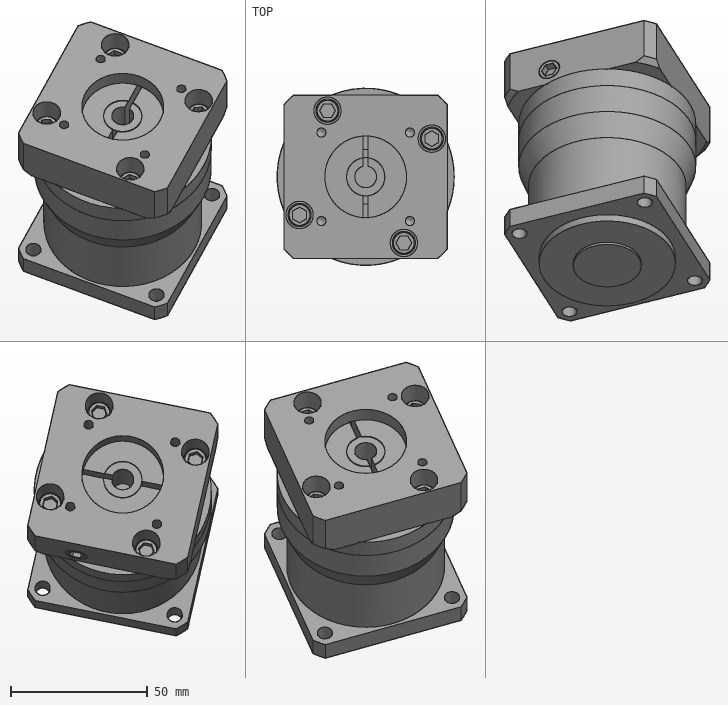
import cadquery as cq
import math

pilot_bottom = 1.0
flange_bottom = 4.0
flange_top = 12.0
cone_bottom = 37.0
cone_top = 46.4
joint_level = 58.6
block_bottom = 66.4
total_height = 85.0

square_side = 60.0
corner_diameter = 80.0

boss_diameter = 25.0
pilot_diameter = 50.0
neck_diameter = 58.0
ring_diameter = 65.0
flange_hole_diameter = 5.5
flange_hole_circle = 70.0

edge_chamfer = 2.0
motor_bore_diameter = 30.0
motor_hole_diameter = 3.3
motor_hole_pitch = 32.5
motor_hole_depth = 10.0
drill_tip_angle = 118.0

screw_circle = 56.0
first_screw_angle = 30.0
screw_count = 4
counterbore_diameter = 10.0
counterbore_depth = 12.75
head_diameter = 8.5
head_height = 5.0
head_chamfer = 0.4
screw_hex_flats = 5.0
screw_hex_depth = 2.5

plug_y = 11.0
plug_z = 73.0
plug_hole_diameter = 8.2
plug_diameter = 7.8
plug_gap_depth = 1.0
plug_hex_flats = 5.1
plug_hex_depth = 3.0

hub_diameter = 36.0
hub_recess = 6.1
collar_height = 0.3
collar_diameter = 14.0
shaft_bore_diameter = 8.0
foot_diameter = 20.0
foot_height = 2.55
slot_width = 1.8
shaft_bore_depth = 16.3

hub_top = total_height - hub_recess
collar_top = hub_top + collar_height
foot_top = joint_level + foot_height
shaft_bore_floor = collar_top - shaft_bore_depth


def cylinder(diameter, bottom, top):
    return cq.Workplane("XY").workplane(offset=bottom).circle(diameter / 2).extrude(top - bottom)


def turned_square(bottom, top):
    """Square prism whose four corners are turned to a common diameter."""
    height = top - bottom
    square = cq.Workplane("XY").workplane(offset=bottom).rect(square_side, square_side).extrude(height)
    return square.intersect(cylinder(corner_diameter, bottom, top))


def hex_socket(plane, flats, depth):
    """Hexagonal prism with two corners on the plane's local X axis."""
    return plane.polygon(6, flats / math.cos(math.pi / 6)).extrude(depth)


def make_housing():
    boss = cylinder(boss_diameter, 0, pilot_bottom)
    pilot = cylinder(pilot_diameter, pilot_bottom, flange_bottom)
    body_profile = [
        (0, flange_top),
        (neck_diameter / 2, flange_top),
        (neck_diameter / 2, cone_bottom),
        (ring_diameter / 2, cone_top),
        (ring_diameter / 2, joint_level),
        (0, joint_level),
    ]
    body = cq.Workplane("XZ").polyline(body_profile).close().revolve(360, (0, 0), (0, 1))
    hole_pitch = flange_hole_circle / math.sqrt(2)
    flange_holes = (
        cq.Workplane("XY")
        .workplane(offset=flange_bottom)
        .rect(hole_pitch, hole_pitch, forConstruction=True)
        .vertices()
        .circle(flange_hole_diameter / 2)
        .extrude(flange_top - flange_bottom)
    )
    flange = turned_square(flange_bottom, flange_top).cut(flange_holes)
    return boss.union(pilot).union(flange).union(body)


def make_adapter_blank():
    """Motor block with chamfered lower corners, on a round base, hollow for the clamp hub."""
    corner_turning = cylinder(corner_diameter, block_bottom, total_height).faces("<Z").chamfer(edge_chamfer)
    block = turned_square(block_bottom, total_height).intersect(corner_turning)
    base = cylinder(ring_diameter, joint_level, block_bottom)
    hub_cavity = cylinder(hub_diameter, joint_level, hub_top)
    motor_bore = cylinder(motor_bore_diameter, hub_top, total_height)
    return base.union(block).cut(hub_cavity).cut(motor_bore)


def make_motor_hole():
    """Blind drilled hole with a conical tip, as a cutter on the central axis."""
    radius = motor_hole_diameter / 2
    shoulder = total_height - motor_hole_depth
    tip = shoulder - radius / math.tan(math.radians(drill_tip_angle / 2))
    profile = [(0, tip), (radius, shoulder), (radius, total_height), (0, total_height)]
    return cq.Workplane("XZ").polyline(profile).close().revolve(360, (0, 0), (0, 1))


def make_screw_head():
    """Socket screw head standing on the counterbore floor, on the central axis."""
    seat = total_height - counterbore_depth
    top = seat + head_height
    head = cylinder(head_diameter, seat, top).faces(">Z").chamfer(head_chamfer)
    socket_plane = cq.Workplane("XY").workplane(offset=top)
    socket = hex_socket(socket_plane, screw_hex_flats, -screw_hex_depth)
    return head.cut(socket.rotate((0, 0, 0), (0, 0, 1), 90))


def add_screw_heads(adapter):
    counterbore = cylinder(counterbore_diameter, total_height - counterbore_depth, total_height)
    pocket = counterbore.cut(make_screw_head())
    radius = screw_circle / 2
    first_angle = math.radians(first_screw_angle)
    first_pocket = pocket.translate((radius * math.cos(first_angle), radius * math.sin(first_angle), 0))
    for i in range(screw_count):
        adapter = adapter.cut(first_pocket.rotate((0, 0, 0), (0, 0, 1), i * 360 / screw_count))
    return adapter


def add_plug(adapter):
    """Flush plug outlined by a narrow ring gap, with a hexagonal socket."""
    side_plane = cq.Workplane("YZ", origin=(-square_side / 2, plug_y, plug_z))
    gap = side_plane.circle(plug_hole_diameter / 2).circle(plug_diameter / 2).extrude(plug_gap_depth)
    return adapter.cut(gap).cut(hex_socket(side_plane, plug_hex_flats, plug_hex_depth))


def make_adapter():
    adapter = make_adapter_blank()
    motor_hole = make_motor_hole()
    half_pitch = motor_hole_pitch / 2
    for x in (-half_pitch, half_pitch):
        for y in (-half_pitch, half_pitch):
            adapter = adapter.cut(motor_hole.translate((x, y, 0)))
    return add_plug(add_screw_heads(adapter))


def make_clamp_hub():
    """Split clamp ring on an unsplit foot, around a taller hollow shaft slit on its +Y side."""
    ring_slot = (
        cq.Workplane("XY")
        .workplane(offset=joint_level)
        .rect(slot_width, hub_diameter)
        .extrude(hub_top - joint_level)
    )
    shaft_slit = (
        cq.Workplane("XY")
        .workplane(offset=shaft_bore_floor)
        .center(0, collar_diameter / 4)
        .rect(slot_width, collar_diameter / 2)
        .extrude(shaft_bore_depth)
    )
    ring = cylinder(hub_diameter, joint_level, hub_top).cut(ring_slot)
    foot = cylinder(foot_diameter, joint_level, foot_top)
    shaft = cylinder(collar_diameter, joint_level, collar_top)
    shaft_bore = cylinder(shaft_bore_diameter, shaft_bore_floor, collar_top)
    return ring.union(foot).union(shaft).cut(shaft_bore).cut(shaft_slit)


housing = make_housing()
adapter = make_adapter()
clamp_hub = make_clamp_hub()

result = cq.Compound.makeCompound([housing.val(), adapter.val(), clamp_hub.val()])